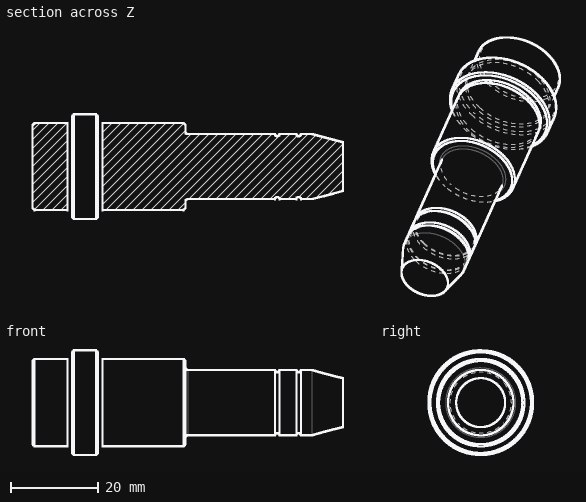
import cadquery as cq

total_length = 71.0
flange_start = 9.0
flange_end = 15.0
body_end = 35.0
taper_start = 63.9

body_diameter = 20.0
flange_diameter = 24.0
shank_diameter = 15.0
tip_diameter = 11.2

edge_chamfer = 0.5
groove_radius = 0.5
shank_groove_centers = (55.95, 60.85)
root_fillet = 0.5


def cylinder(start, end, diameter):
    """Solid cylinder on the X axis between two stations."""
    return cq.Workplane("YZ", origin=(start, 0, 0)).circle(diameter / 2).extrude(end - start)


def ring_groove(center, diameter):
    """Ring of round section that cuts a half-round groove in a cylinder."""
    return (
        cq.Workplane("XY")
        .center(center, diameter / 2)
        .circle(groove_radius)
        .revolve(360, (0, -diameter / 2), (1, -diameter / 2))
    )


body = cylinder(0, body_end, body_diameter).faces("<X or >X").chamfer(edge_chamfer)

for center in (flange_start - groove_radius, flange_end + groove_radius):
    body = body.cut(ring_groove(center, body_diameter))

flange = cylinder(flange_start, flange_end, flange_diameter).faces("<X or >X").chamfer(edge_chamfer)

shank = cylinder(body_end, taper_start, shank_diameter)
for center in shank_groove_centers:
    shank = shank.cut(ring_groove(center, shank_diameter))

root = (
    cq.Workplane("XY")
    .moveTo(body_end, 0)
    .lineTo(body_end, shank_diameter / 2 + root_fillet)
    .radiusArc((body_end + root_fillet, shank_diameter / 2), -root_fillet)
    .lineTo(body_end + root_fillet, 0)
    .close()
    .revolve(360, (0, 0), (1, 0))
)

tip = (
    cq.Workplane("YZ", origin=(taper_start, 0, 0))
    .circle(shank_diameter / 2)
    .workplane(offset=total_length - taper_start)
    .circle(tip_diameter / 2)
    .loft(ruled=True)
)

result = body.union(flange).union(shank).union(root).union(tip)